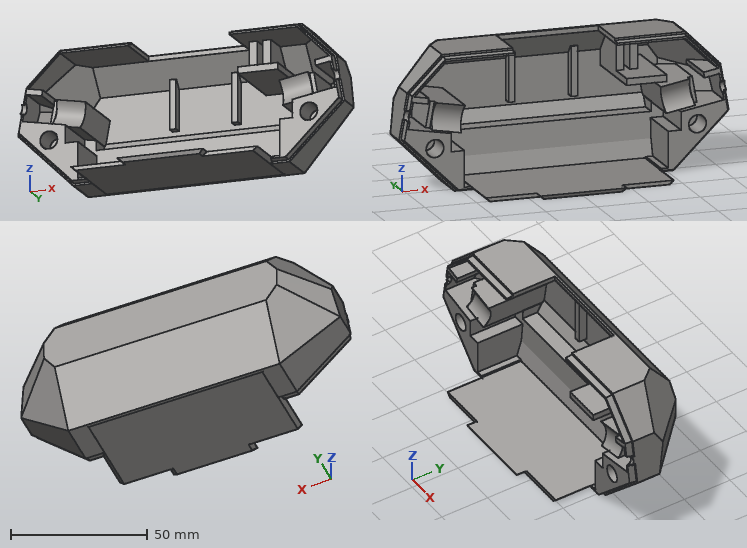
import cadquery as cq
import math

LENGTH = 128.2
HEIGHT = 52.5
DEPTH = 30.6
WALL = 1.9
BACK_WALL = 1.5
REACH = 153.9

TOP_HALF = 47.3
SHOULDER_HALF = 60.9
SHOULDER_HEIGHT = 39.0
WAIST_HEIGHT = 21.3
BASE_HALF = 42.5

BEVEL_TOP = (-42.6, 22.0, HEIGHT)
BEVEL_TOP_BACK = (-42.6, DEPTH, 42.2)
BEVEL_TOP_SIDE = (-TOP_HALF, 16.5, HEIGHT)
BEVEL_SIDE = (-62.0, 15.0, 32.3)
BEVEL_WAIST_BACK = (-46.8, DEPTH, 30.6)
BEVEL_SHOULDER_BACK = (-46.8, DEPTH, 36.5)
BEVEL_WAIST = (-LENGTH / 2, 12.3, WAIST_HEIGHT)
BEVEL_BASE = (-BASE_HALF, 18.3, 0)
BEVEL_BASE_BACK = (-BASE_HALF, DEPTH, 21.9)

LIP_DEPTH = 2.7
LIP_INSET = 0.8
LIP_TAPER = 8.0

WINDOW_WIDTH = 39.7
WINDOW_DEPTH = 21.0

BAY_HALF = 39.6
LEDGE_HEIGHT = 18.2
LEDGE_FRONT = 19.9
STEP_HEIGHT = 8.2
STEP_FRONT = 19.1
FLOOR_BACK = 17.0
POST_HALF = 40.0
NOTCH_HALF = 44.6
NOTCH_HEIGHT = 15.9
POST_HOLE_DIAMETER = 6.8
POST_HOLE_X = 51.0
POST_HOLE_Z = 17.7
POST_HOLE_DEPTH = 10.3

ENTRY_X = -62.3
ENTRY_Z = 31.0
ENTRY_TILT = math.degrees(math.atan2(LENGTH / 2 - SHOULDER_HALF, SHOULDER_HEIGHT - WAIST_HEIGHT))
ENTRY_DIAMETER = 4.2
ENTRY_REACH = 5.1
COLLAR_WIDTH = 3.5
CABLE_BED = -4.9
CRADLE_TOP = 5.3
CRADLE_START = 10.6
CRADLE_END = 23.7
CRADLE_FRONT = 5.6
SEAT_START = 12.3
SEAT_RADIUS = 7.2
SEAT_AXIS_Y = -1.9
SEAT_AXIS_RISE = 0.6
SHELF_END = 7.7
SHELF_BOTTOM = 5.4
SHELF_TOP = 7.6

BACK_RIB_X = 12.2
BACK_RIB_WIDTH = 2.5
BACK_RIB_FRONT = 25.8
BACK_RIB_BOTTOM = 25.0
BACK_RIB_TOP = 44.1

BRACKET_LEFT = 23.3
BRACKET_RIGHT = 39.0
BRACKET_BOTTOM = 35.0
BRACKET_TOP = 37.6
BRACKET_FRONT = -0.4
HANGER_WIDTH = 3.1
HANGER_PITCH = 5.4
HANGER_FRONT = 11.4

PLATE_THICKNESS = 1.5
PLATE_HALF = 36.5
PLATE_FRONT = -15.1
TONGUE_HALF = 16.8
TONGUE_FRONT = -19.4
PLATE_BEVEL = 1.7
TONGUE_TIP_BEVEL = 0.9


def block(x0, x1, y0, y1, z0, z1):
    return cq.Workplane("XY").box(x1 - x0, y1 - y0, z1 - z0, centered=False).translate((x0, y0, z0))


def both_ends(body):
    """The body together with its mirror image at the other end of the housing."""
    return body.union(body.mirror("YZ"))


def outline(start_y, inset):
    """Octagonal front outline at depth start_y; extruding it goes towards +Y."""
    right = [
        (TOP_HALF, HEIGHT),
        (SHOULDER_HALF, SHOULDER_HEIGHT),
        (LENGTH / 2, WAIST_HEIGHT),
        (BASE_HALF, 0),
    ]
    left = [(-x, z) for x, z in reversed(right)]
    plane = cq.Plane(origin=(0, start_y, 0), xDir=(-1, 0, 0), normal=(0, 1, 0))
    sketch = cq.Workplane(plane).polyline(right + left).close()
    return sketch.offset2D(-inset, "intersection") if inset else sketch


def outside_of(corners, inset):
    """Block covering everything beyond the plane through three corners, moved inwards by inset."""
    a, b, c = [cq.Vector(*corner) for corner in corners]
    normal = (b - a).cross(c - a).normalized()
    centre = cq.Vector(0, 0, HEIGHT / 2)
    if normal.dot(a - centre) < 0:
        normal = normal * -1
    plane = cq.Plane(origin=(a - normal * inset).toTuple(), normal=normal.toTuple())
    return cq.Workplane(plane).rect(2 * REACH, 2 * REACH).extrude(REACH)


def mirrored(corner):
    return (-corner[0], corner[1], corner[2])


def envelope(start_y, inset=0, back_inset=0):
    """Form of the housing from start_y to the back, shrunk by inset and at the back by back_inset."""
    body = outline(start_y, inset).extrude(DEPTH - back_inset - start_y)
    body = body.cut(outside_of((BEVEL_TOP, BEVEL_TOP_BACK, mirrored(BEVEL_TOP)), inset))
    body = body.cut(outside_of((BEVEL_BASE, BEVEL_BASE_BACK, mirrored(BEVEL_BASE)), inset))
    corner_bevels = [
        (BEVEL_TOP, BEVEL_TOP_BACK, BEVEL_TOP_SIDE),
        (BEVEL_SHOULDER_BACK, BEVEL_SIDE, BEVEL_WAIST_BACK),
        (BEVEL_WAIST, BEVEL_SIDE, BEVEL_WAIST_BACK),
        (BEVEL_WAIST, BEVEL_BASE, BEVEL_BASE_BACK),
    ]
    for corners in corner_bevels:
        body = body.cut(both_ends(outside_of(corners, inset)))
    return body


def entry_plane(y):
    """Plane at depth y; its x runs along the left cable, its y is square to it."""
    plane = cq.Plane(origin=(ENTRY_X, y, ENTRY_Z), xDir=(1, 0, 0), normal=(0, -1, 0))
    return plane.rotated((0, 0, -ENTRY_TILT))


def entry_block(u0, u1, v0, v1, y0, y1):
    """Block from u0 to u1 along the left cable, v0 to v1 across it and y0 to y1 in depth."""
    sketch = cq.Workplane(entry_plane(y0)).moveTo(u0, v0).lineTo(u1, v0).lineTo(u1, v1).lineTo(u0, v1)
    return sketch.close().extrude(y0 - y1)


def entry_cylinder(u0, u1, v, y, radius):
    axis = entry_plane(y)
    start = axis.toWorldCoords((u0, v, 0))
    return cq.Workplane(cq.Plane(origin=start, normal=axis.xDir)).circle(radius).extrude(u1 - u0)


def entry_collar():
    half = COLLAR_WIDTH / 2
    return entry_block(-ENTRY_REACH, ENTRY_REACH, -half, half, 0, LIP_DEPTH).intersect(envelope(0))


def bay_face():
    """Front face of the filler behind the battery bay, from the floor upwards (y, z)."""
    slope = (LEDGE_FRONT - STEP_FRONT) / (LEDGE_HEIGHT - STEP_HEIGHT)
    face_top = (LEDGE_FRONT + slope * (HEIGHT - LEDGE_HEIGHT), HEIGHT)
    return [(FLOOR_BACK, 0), (FLOOR_BACK, PLATE_THICKNESS), (STEP_FRONT, STEP_HEIGHT), face_top]


def behind_bay_face(x0, x1, z0, z1):
    body = cq.Workplane("YZ").polyline(bay_face() + [(DEPTH, HEIGHT), (DEPTH, 0)]).close().extrude(x1 - x0)
    return body.translate((x0, 0, 0)).intersect(block(x0, x1, 0, DEPTH, z0, z1))


def post():
    """Left corner post with its notch; its top is parallel to the cable."""
    lower = block(-LENGTH / 2, -BAY_HALF, 0, DEPTH, 0, NOTCH_HEIGHT)
    upper = block(-LENGTH / 2, -NOTCH_HALF, 0, DEPTH, 0, HEIGHT)
    behind_notch = behind_bay_face(-NOTCH_HALF, -POST_HALF, NOTCH_HEIGHT, HEIGHT)
    body = lower.union(upper).union(behind_notch)
    body = body.cut(entry_block(-REACH, REACH, CABLE_BED, REACH, 0, DEPTH))
    hole = cq.Workplane("XZ").center(-POST_HOLE_X, POST_HOLE_Z).circle(POST_HOLE_DIAMETER / 2)
    return body.cut(hole.extrude(-POST_HOLE_DEPTH))


def cradle():
    """Left cable cradle: a block with a hollow round seat standing out from its front."""
    base = entry_block(CRADLE_START, SEAT_START, CABLE_BED, CRADLE_TOP, CRADLE_FRONT, DEPTH)
    seat = entry_block(SEAT_START, CRADLE_END, CABLE_BED, CRADLE_TOP, 0, DEPTH)
    hollow = entry_cylinder(0, CRADLE_END + ENTRY_REACH, SEAT_AXIS_RISE, SEAT_AXIS_Y, SEAT_RADIUS)
    return base.union(seat.cut(hollow))


def shelf():
    return entry_block(-LENGTH, SHELF_END, SHELF_BOTTOM, SHELF_TOP, 0, DEPTH)


def bracket():
    bar = block(BRACKET_LEFT, BRACKET_RIGHT, BRACKET_FRONT, DEPTH, BRACKET_BOTTOM, BRACKET_TOP)
    for left in (BRACKET_LEFT, BRACKET_LEFT + HANGER_PITCH):
        bar = bar.union(block(left, left + HANGER_WIDTH, HANGER_FRONT, DEPTH, BRACKET_TOP, HEIGHT))
    return bar


def back_ribs():
    half = BACK_RIB_WIDTH / 2
    left = -BACK_RIB_X - half
    right = -BACK_RIB_X + half
    return both_ends(block(left, right, BACK_RIB_FRONT, DEPTH, BACK_RIB_BOTTOM, BACK_RIB_TOP))


def plate_outline(bevel, tip_bevel):
    """Plate outline, narrowed by bevel on its sides and by tip_bevel at the tip of the tongue."""
    side = PLATE_HALF - bevel
    tongue = TONGUE_HALF - bevel
    tip = TONGUE_FRONT + tip_bevel
    right = [(side, FLOOR_BACK), (side, PLATE_FRONT), (tongue, PLATE_FRONT), (tongue, tip)]
    return right + [(-x, y) for x, y in reversed(right)]


def sliding_plate():
    lower = cq.Workplane("XY").polyline(plate_outline(PLATE_BEVEL, TONGUE_TIP_BEVEL)).close()
    return lower.workplane(offset=PLATE_THICKNESS).polyline(plate_outline(0, 0)).close().loft(ruled=True)


def plate_slot():
    half_bottom = PLATE_HALF - PLATE_BEVEL
    half_top = half_bottom + PLATE_BEVEL * WALL / PLATE_THICKNESS
    profile = [(-half_bottom, 0), (half_bottom, 0), (half_top, WALL), (-half_top, WALL)]
    return cq.Workplane("XZ").polyline(profile).close().extrude(-STEP_FRONT)


def housing():
    lip = outline(LIP_DEPTH, LIP_INSET).extrude(-LIP_DEPTH, taper=LIP_TAPER)
    outer = envelope(LIP_DEPTH).union(lip)
    cavity = envelope(0, WALL, BACK_WALL)
    body = outer.union(both_ends(entry_collar())).cut(cavity)

    ends = post().union(cradle()).union(shelf())
    inside = both_ends(ends).union(back_ribs())
    body = body.union(inside.intersect(cavity))
    body = body.cut(plate_slot())
    filler = behind_bay_face(-POST_HALF, POST_HALF, 0, LEDGE_HEIGHT)
    body = body.union(filler.intersect(envelope(0)))
    body = body.union(bracket().intersect(envelope(BRACKET_FRONT, WALL, BACK_WALL)))

    window = block(-WINDOW_WIDTH / 2, WINDOW_WIDTH / 2, 0, WINDOW_DEPTH, HEIGHT - WALL, HEIGHT)
    body = body.cut(window)
    return body.cut(both_ends(entry_cylinder(-ENTRY_REACH, ENTRY_REACH, 0, 0, ENTRY_DIAMETER / 2)))


result = cq.Compound.makeCompound([housing().val(), sliding_plate().val()])